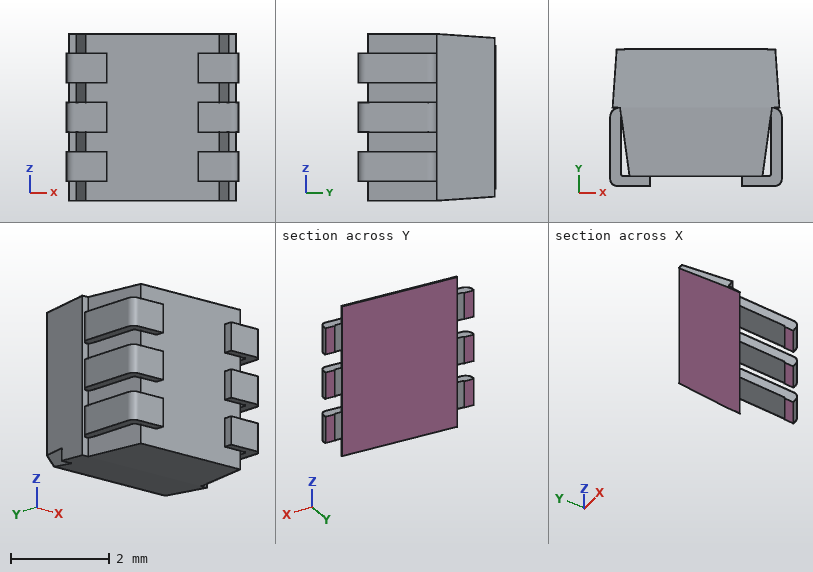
import cadquery as cq


total_depth = 2.8
body_side = 3.4
cap_start = 1.6
cap_front_side = 3.235
base_bottom = 0.2
base_wide_width = 3.095
base_narrow_width = 2.71

mark_leg = 0.2
mark_depth = 0.49

window_diameter = 2.905
window_thickness = 0.018
cap_front = total_depth - window_thickness

lead_span = 3.5
arm_thickness = 0.228
foot_thickness = 0.21
lead_width = 0.605
lead_pitch = 1.0
leads_per_side = 3
foot_length = 0.82
shoulder_radius = 0.2
bend_outer_radius = 0.15
bend_inner_radius = 0.035


def make_base():
    """Base that narrows in X towards the mounting side, straight along Z."""
    outline = [
        (-base_wide_width / 2, cap_start),
        (base_wide_width / 2, cap_start),
        (base_narrow_width / 2, base_bottom),
        (-base_narrow_width / 2, base_bottom),
    ]
    return cq.Workplane("XY").polyline(outline).close().extrude(body_side / 2, both=True)


def make_corner_mark():
    """Triangular prism that cuts the -X, -Z corner of the cap front."""
    front_corner = -cap_front_side / 2
    outside = -body_side / 2
    cut_sum = 2 * front_corner + mark_leg
    return (
        cq.Workplane("XZ", origin=(0, cap_front, 0))
        .moveTo(outside, outside)
        .lineTo(cut_sum - outside, outside)
        .lineTo(outside, cut_sum - outside)
        .close()
        .extrude(mark_depth)
    )


def make_cap():
    """Cap that tapers on all four sides towards the front face."""
    cap = (
        cq.Workplane("XZ", origin=(0, cap_start, 0))
        .rect(body_side, body_side)
        .workplane(offset=cap_start - cap_front)
        .rect(cap_front_side, cap_front_side)
        .loft(ruled=True)
    )
    return cap.cut(make_corner_mark())


def make_lead(z_center):
    """L-shaped lead on the +X side with its foot turned inward."""
    outer = lead_span / 2
    inner = outer - arm_thickness
    foot_end = outer - foot_length
    lead = (
        cq.Workplane("XY", origin=(0, 0, z_center))
        .moveTo(foot_end, 0)
        .lineTo(outer - bend_outer_radius, 0)
        .radiusArc((outer, bend_outer_radius), -bend_outer_radius)
        .lineTo(outer, cap_start - shoulder_radius)
        .radiusArc((outer - shoulder_radius, cap_start), -shoulder_radius)
        .lineTo(inner, cap_start)
        .lineTo(inner, foot_thickness + bend_inner_radius)
        .radiusArc((inner - bend_inner_radius, foot_thickness), bend_inner_radius)
        .lineTo(foot_end, foot_thickness)
        .close()
        .extrude(lead_width / 2, both=True)
    )
    return lead


def make_housing():
    """Base, cap and both rows of leads as one solid."""
    housing = make_base().union(make_cap())
    for index in range(leads_per_side):
        z_center = (index - (leads_per_side - 1) / 2) * lead_pitch
        lead = make_lead(z_center)
        housing = housing.union(lead).union(lead.mirror("YZ"))
    return housing.solids()


def make_window():
    """Thin round window lying on the front face of the cap."""
    return (
        cq.Workplane("XZ", origin=(0, total_depth, 0))
        .circle(window_diameter / 2)
        .extrude(window_thickness)
    )


housing = make_housing()
window = make_window()

result = cq.Compound.makeCompound([housing.val(), window.val()])